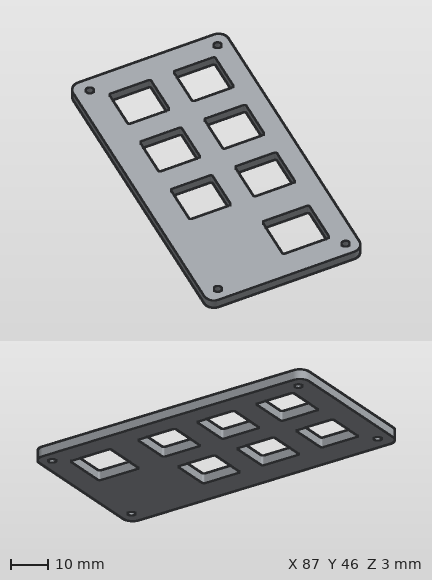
import cadquery as cq

length = 87.0
width = 46.0
thickness = 3.0
corner_radius = 3.0

screw_diameter = 2.2
screw_spacing_x = 79.4
screw_spacing_y = 37.85
screw_center_x = 0.2
screw_center_y = 0.35

key_columns = 3
key_rows = 2
key_pitch = 19.05
key_width = 12.0
key_height = 12.3
key_grid_x = -11.05
key_grid_y = 1.1

encoder_width = 13.0
encoder_height = 13.8
encoder_x = 29.6
encoder_y = 9.5

window_corner_radius = 0.5


def window(size_x, size_y, locations):
    """Through-cutters with rounded vertical edges, one at each location."""
    return (
        cq.Workplane("XY")
        .pushPoints(locations)
        .rect(size_x, size_y)
        .extrude(thickness)
        .edges("|Z")
        .fillet(window_corner_radius)
    )


def grid_points(columns, rows, pitch, center_x, center_y):
    """Centers of a rectangular grid about the given point."""
    return [
        (
            center_x + (column - (columns - 1) / 2) * pitch,
            center_y + (row - (rows - 1) / 2) * pitch,
        )
        for column in range(columns)
        for row in range(rows)
    ]


plate = (
    cq.Workplane("XY")
    .rect(length, width)
    .extrude(thickness)
    .edges("|Z")
    .fillet(corner_radius)
)

screw_holes = (
    cq.Workplane("XY")
    .center(screw_center_x, screw_center_y)
    .rect(screw_spacing_x, screw_spacing_y, forConstruction=True)
    .vertices()
    .circle(screw_diameter / 2)
    .extrude(thickness)
)

key_points = grid_points(key_columns, key_rows, key_pitch, key_grid_x, key_grid_y)
key_windows = window(key_width, key_height, key_points)
encoder_window = window(encoder_width, encoder_height, [(encoder_x, encoder_y)])

result = plate.cut(screw_holes).cut(key_windows).cut(encoder_window)